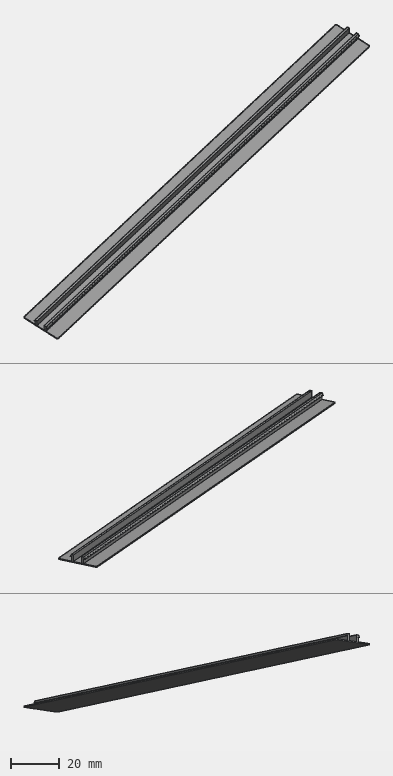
import cadquery as cq

length = 201.0
base_width = 18.0
total_height = 3.39

base_thickness = 0.5
corner_radius = 0.5

rib_gap = 3.8
rib_thickness = 1.0
barb_reach = 0.57
barb_height = 0.99


def base_strip():
    """Flat strip centred on X and Y, resting on Z = 0, with rounded corners."""
    strip = cq.Workplane("XY").box(base_width, length, base_thickness, centered=(True, True, False))
    return strip.edges("|Z").fillet(corner_radius)


def snap_rib():
    """Full-length rib on the +X side; its barb has a flat underside and a sloped lead-in face."""
    inner_x = rib_gap / 2
    outer_x = inner_x + rib_thickness
    barb_tip_x = outer_x + barb_reach
    barb_underside_z = total_height - barb_height
    profile = [
        (inner_x, 0),
        (outer_x, 0),
        (outer_x, barb_underside_z),
        (barb_tip_x, barb_underside_z),
        (outer_x, total_height),
        (inner_x, total_height),
    ]
    return cq.Workplane("XZ").polyline(profile).close().extrude(length / 2, both=True)


right_rib = snap_rib()
left_rib = right_rib.mirror("YZ")
result = base_strip().union(right_rib).union(left_rib)